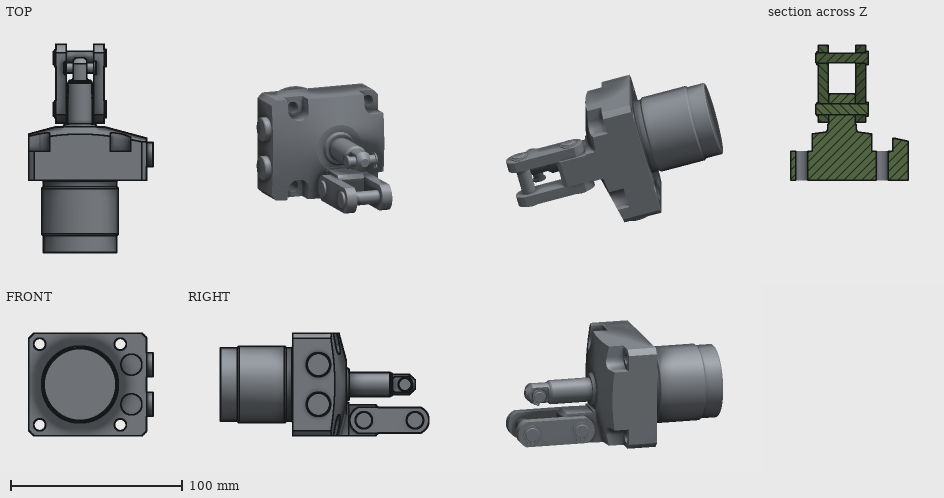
import cadquery as cq
import math


flange_half_height = 30.0
flange_left = -30.0
flange_right = 38.9
corner_round_radius = 40.3
right_corner_chamfer = 2.9
crown_flat_radius = 14.0
crown_height = 31.2
crown_slope = math.radians(15)

screw_offset = 23.5
screw_hole_diameter = 6.8
screw_seat_radius = 6.0
screw_seat_height = 17.0

port_offset_z = 11.6
port_recess_x = 30.0
port_recess_diameter = 12.3
port_recess_depth = 1.0
plug_diameter = 14.2
plug_height = 15.0
plug_length = 3.9
plug_chamfer = 0.5

barrel_radius = 22.5
neck_radius = 21.5
barrel_chamfer = barrel_radius - neck_radius
neck_length = 3.9
barrel_end = 32.3
barrel_length = 42.5
cap_chamfer = 0.5
root_taper = 0.5

rod_radius = 7.1
collar_base_radius = 10.0
collar_top_radius = 8.9
collar_top = 33.0
rod_shoulder = 56.7
shoulder_middle = 57.5
shoulder_middle_radius = 6.7
tip_radius = 6.0
tip_start = shoulder_middle + shoulder_middle_radius - tip_radius
rod_end = 71.6
nose_chamfer = 3.5
tip_flat_half_width = 4.0
tip_flat_start = 58.4
tip_flat_fillet = 1.2

pivot_height = 41.5
pivot_spacing = 29.9
pivot_z = -20.9
link_inner = 7.9
link_thickness = 6.1
link_outer = link_inner + link_thickness
link_width = 15.1
link_end_radius = 8.2
lug_width = 2 * link_inner
lug_end = pivot_height + 9.2
lug_half_height = flange_half_height + pivot_z
lug_chamfer = 2.5
pad_half_width = 8.5
pad_height = 32.8
pad_top_z = -10.7
pad_fillet = 1.5

link_pin_radius = 4.0
link_head_radius = 5.0
link_clip_angle = 10
rod_pin_radius = 3.0
rod_head_radius = 3.9
rod_pin_y = 65.5
rod_pin_grip = 8.0
rod_clip_angle = 22
head_thickness = 1.3
clip_thickness = 0.7
pin_end_length = 1.5
clip_offset = 0.4
clip_gap = 0.4
clip_ear_radius = 1.0
clip_ear_hole_radius = 0.4
clip_ear_spacing = 2.0
pin_edge_chamfer = 0.2


def cylinder_y(radius, start, end, x=0.0, z=0.0):
    """Round bar along Y between two heights."""
    return cq.Workplane("XZ", origin=(x, start, z)).circle(radius).extrude(start - end)


def cylinder_x(radius, start, end, y, z):
    """Round bar along X between two positions."""
    return cq.Workplane("YZ", origin=(start, y, z)).circle(radius).extrude(end - start)


def block(x_range, y_range, z_range):
    """Box between the given limits."""
    size = [limits[1] - limits[0] for limits in (x_range, y_range, z_range)]
    corner = (x_range[0], y_range[0], z_range[0])
    return cq.Workplane("XY").box(*size, centered=False).translate(corner)


def turned(points):
    """Solid of revolution about Y from (radius, height) points."""
    return cq.Workplane("XY").polyline(points).close().revolve(360, (0, 0, 0), (0, 1, 0))


def make_clip(radius, outer_radius):
    """Retaining clip in the YZ plane, around a pin at the origin, with two eyes below it."""
    ear_z = -outer_radius - clip_ear_radius / 2
    clip = cylinder_x(outer_radius, 0, clip_thickness, 0, clip_offset)
    ears = [side * clip_ear_spacing / 2 for side in (-1, 1)]
    for ear_y in ears:
        ear = cylinder_x(clip_ear_radius, 0, clip_thickness, ear_y, ear_z)
        y_range = (ear_y - clip_ear_radius, ear_y + clip_ear_radius)
        clip = clip.union(ear).union(block((0, clip_thickness), y_range, (ear_z, -radius)))
    for ear_y in ears:
        clip = clip.cut(cylinder_x(clip_ear_hole_radius, 0, clip_thickness, ear_y, ear_z))
    gap = block((0, clip_thickness), (-clip_gap / 2, clip_gap / 2), (ear_z - clip_ear_radius, 0))
    return clip.cut(gap)


def make_pin(radius, head_radius, half_grip, y, z, clip_angle):
    """Pin along X, headed on the +X side, with a retaining clip on the -X side."""
    shank = cylinder_x(radius, -half_grip - pin_end_length, half_grip, 0, 0)
    shank = shank.faces("<X").chamfer(pin_edge_chamfer)
    head = cylinder_x(head_radius, half_grip, half_grip + head_thickness, 0, 0)
    head = head.faces(">X").chamfer(pin_edge_chamfer)
    clip = make_clip(radius, head_radius).rotate((0, 0, 0), (1, 0, 0), clip_angle)
    clip = clip.translate((-half_grip - clip_thickness, 0, 0))
    return shank.union(head).union(clip).translate((0, y, z))


def make_flange():
    """Flange block with a conical back and a filleted pad under the lug."""
    reach = 2 * flange_right
    base = block((flange_left, flange_right), (0, crown_height), (-flange_half_height, flange_half_height))
    base = base.edges("|Y and >X").chamfer(right_corner_chamfer)
    corner_round = cylinder_y(corner_round_radius, 0, crown_height)
    right_side = block((0, reach), (0, crown_height), (-reach, reach))
    drop = (reach - crown_flat_radius) * math.tan(crown_slope)
    crown = turned([
        (0, 0),
        (reach, 0),
        (reach, crown_height - drop),
        (crown_flat_radius, crown_height),
        (0, crown_height),
    ])
    flange = base.intersect(corner_round.union(right_side)).intersect(crown)
    pad = block(
        (-pad_half_width, pad_half_width),
        (screw_seat_height, pad_height),
        (-flange_half_height, pad_top_z),
    )
    pad_sides = cq.selectors.BoxSelector(
        (-pad_half_width - pad_fillet, screw_seat_height, -flange_half_height + pad_fillet),
        (pad_half_width + pad_fillet, crown_height, pad_top_z - pad_fillet),
    )
    return flange.union(pad).edges(pad_sides).fillet(pad_fillet)


def screw_cuts():
    """Four through holes; the seats open to the edges of the flange."""
    reach = 2 * flange_half_height
    seat = (screw_seat_height, crown_height)
    cuts = []
    for side in (-1, 1):
        for x in (-screw_offset, screw_offset):
            z = side * screw_offset
            cuts.append(cylinder_y(screw_hole_diameter / 2, 0, crown_height, x, z))
            cuts.append(cylinder_y(screw_seat_radius, *seat, x, z))
            z_range = sorted((z, side * reach))
            cuts.append(block((x - screw_seat_radius, x + screw_seat_radius), seat, z_range))
        z_range = sorted((side * (screw_offset - screw_seat_radius), side * reach))
        cuts.append(block((-reach, -screw_offset), seat, z_range))
    return cuts


def make_barrel():
    """Cylinder barrel below the mounting face."""
    return turned([
        (0, 0),
        (neck_radius + root_taper, 0),
        (neck_radius, -root_taper),
        (neck_radius, -neck_length),
        (barrel_radius, -neck_length - barrel_chamfer),
        (barrel_radius, -barrel_end + barrel_chamfer),
        (neck_radius, -barrel_end),
        (neck_radius, -barrel_length + cap_chamfer),
        (neck_radius - cap_chamfer, -barrel_length),
        (0, -barrel_length),
    ])


def make_rod():
    """Piston rod with its collar, flattened tip and cross pin."""
    rod = turned([
        (0, crown_height),
        (collar_base_radius, crown_height),
        (collar_top_radius, collar_top),
        (rod_radius, collar_top),
        (rod_radius, rod_shoulder),
        (shoulder_middle_radius, shoulder_middle),
        (tip_radius, tip_start),
        (tip_radius, rod_end - nose_chamfer),
        (tip_radius - nose_chamfer, rod_end),
        (0, rod_end),
    ])
    for side in (-1, 1):
        x_range = sorted((side * tip_flat_half_width, side * rod_radius))
        relief = block(x_range, (tip_flat_start, rod_end), (-rod_radius, rod_radius))
        inner_edge = relief.edges("|Z and <Y").edges("<X" if side > 0 else ">X")
        rod = rod.cut(inner_edge.fillet(tip_flat_fillet))
    cross_pin = make_pin(rod_pin_radius, rod_head_radius, rod_pin_grip, rod_pin_y, 0, rod_clip_angle)
    return rod.union(cross_pin)


def make_lug():
    """Lug between the links, drilled for the lower link pin."""
    lug = block(
        (-lug_width / 2, lug_width / 2),
        (screw_seat_height, lug_end),
        (pivot_z - lug_half_height, pivot_z + lug_half_height),
    )
    lug = lug.edges("|X and >Y").chamfer(lug_chamfer)
    return lug.cut(cylinder_x(link_pin_radius, -lug_width, lug_width, pivot_height, pivot_z))


def make_clamp_body():
    """Flange, barrel, rod, lug and port plugs as one body."""
    body = make_flange().union(make_barrel())
    for cut in screw_cuts():
        body = body.cut(cut)
    for z in (-port_offset_z, port_offset_z):
        body = body.cut(cylinder_y(port_recess_diameter / 2, 0, port_recess_depth, port_recess_x, z))
        plug = cylinder_x(plug_diameter / 2, flange_right, flange_right + plug_length, plug_height, z)
        body = body.union(plug.faces(">X").chamfer(plug_chamfer))
    return body.union(make_lug()).union(make_rod())


def make_link(inner_x):
    """Flat link with a pin hole near each round end; inner_x is its lower X face."""
    middle = pivot_height + pivot_spacing / 2
    half_length = pivot_spacing / 2 + link_end_radius
    bar = block(
        (inner_x, inner_x + link_thickness),
        (middle - half_length, middle + half_length),
        (pivot_z - link_width / 2, pivot_z + link_width / 2),
    )
    envelope = block(
        (inner_x, inner_x + link_thickness),
        (pivot_height, pivot_height + pivot_spacing),
        (pivot_z - link_end_radius, pivot_z + link_end_radius),
    )
    for y in (pivot_height, pivot_height + pivot_spacing):
        envelope = envelope.union(cylinder_x(link_end_radius, inner_x, inner_x + link_thickness, y, pivot_z))
    link = bar.intersect(envelope)
    for y in (pivot_height, pivot_height + pivot_spacing):
        link = link.cut(cylinder_x(link_pin_radius, inner_x, inner_x + link_thickness, y, pivot_z))
    return link


clamp_body = make_clamp_body()
links = [make_link(x) for x in (-link_outer, link_inner)]
link_pins = [
    make_pin(link_pin_radius, link_head_radius, link_outer, y, pivot_z, link_clip_angle)
    for y in (pivot_height, pivot_height + pivot_spacing)
]

result = cq.Compound.makeCompound([body.val() for body in [clamp_body, *links, *link_pins]])